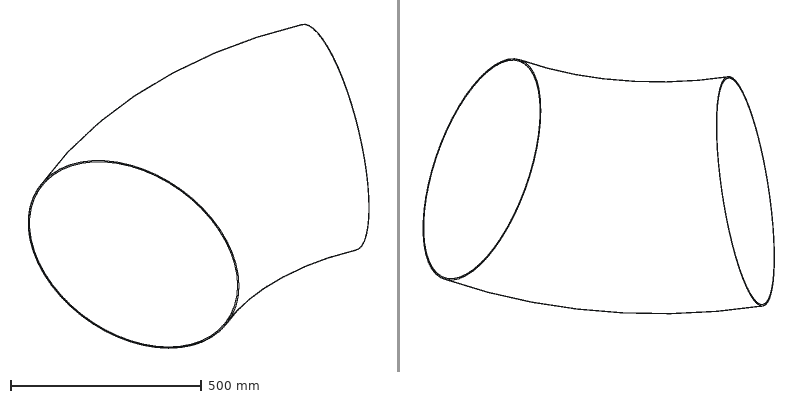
import cadquery as cq
import math

bend_angle = 45.0
length_y = 862.0
outer_diameter = 610.0
wall = 4.0

outer_radius = outer_diameter / 2
inner_radius = outer_radius - wall
bend_radius = length_y / math.sin(math.radians(bend_angle)) - outer_radius

result = (
    cq.Workplane("XZ")
    .center(-bend_radius, 0)
    .circle(outer_radius)
    .circle(inner_radius)
    .revolve(bend_angle, (bend_radius, 9, 0), (bend_radius, 0, 0))
)